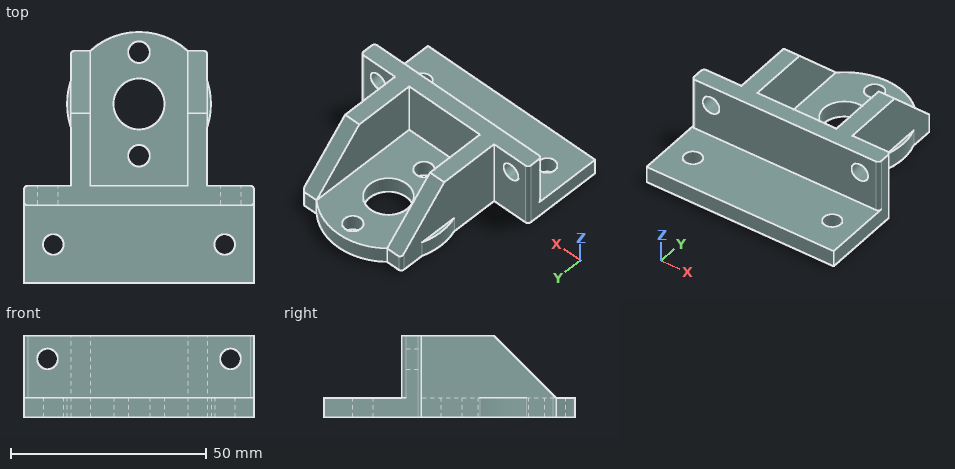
import cadquery as cq

width = 59.0
length = 64.45
height = 21.0
thickness = 5.0
corner_radius = 0.95

wall_front = 20.0
wall_back = wall_front + thickness

arm_span = 35.0
arm_end = 59.6
arm_inner_gap = arm_span - 2 * thickness
slope_run = height - thickness

disc_radius = 18.5
disc_center_y = length - disc_radius
bore_diameter = 13.0
disc_hole_diameter = 5.5
disc_hole_offset = 13.3

mount_hole_diameter = 5.2
base_hole_spacing = 43.95
base_hole_y = 9.9
wall_hole_spacing = 46.9
wall_hole_z = 15.0


def block(size_x, y_start, y_end, size_z):
    """Box centred on X, standing on Z = 0."""
    return (
        cq.Workplane("XY")
        .box(size_x, y_end - y_start, size_z, centered=(True, False, False))
        .translate((0, y_start, 0))
    )


def make_base():
    """Front flange, ending inside the wall clear of its rounded back corners."""
    return block(width, 0, wall_back - corner_radius, thickness)


def make_wall():
    """Upright wall with rounded vertical edges."""
    return block(width, wall_front, wall_back, height).edges("|Z").fillet(corner_radius)


def make_arms():
    """Two sloped side arms with the outer end corners rounded."""
    profile = [
        (wall_front + corner_radius, 0),
        (arm_end, 0),
        (arm_end, height - slope_run),
        (arm_end - slope_run, height),
        (wall_front + corner_radius, height),
    ]
    arms = cq.Workplane("YZ").polyline(profile).close().extrude(arm_span / 2, both=True)
    arms = arms.edges("|Z and >Y").fillet(corner_radius)
    return arms.cut(block(arm_inner_gap, wall_back, length, height))


def make_disc():
    """Round motor plate, joined to the wall by a web between the arms."""
    disc = cq.Workplane("XY").center(0, disc_center_y).circle(disc_radius).extrude(thickness)
    return disc.union(block(arm_inner_gap, wall_front, disc_center_y, thickness))


def cut_holes(body):
    """Cut the disc bore, its two screw holes and the four mounting holes."""
    disc_plane = cq.Workplane("XY").center(0, disc_center_y)
    bore = disc_plane.circle(bore_diameter / 2).extrude(thickness)
    disc_holes = (
        disc_plane.pushPoints([(0, -disc_hole_offset), (0, disc_hole_offset)])
        .circle(disc_hole_diameter / 2)
        .extrude(thickness)
    )
    base_holes = (
        cq.Workplane("XY")
        .pushPoints([(side * base_hole_spacing / 2, base_hole_y) for side in (-1, 1)])
        .circle(mount_hole_diameter / 2)
        .extrude(thickness)
    )
    wall_holes = (
        cq.Workplane("XZ", origin=(0, wall_back, 0))
        .pushPoints([(side * wall_hole_spacing / 2, wall_hole_z) for side in (-1, 1)])
        .circle(mount_hole_diameter / 2)
        .extrude(thickness)
    )
    return body.cut(bore).cut(disc_holes).cut(base_holes).cut(wall_holes)


bracket = make_base().union(make_wall()).union(make_arms()).union(make_disc())
result = cut_holes(bracket)